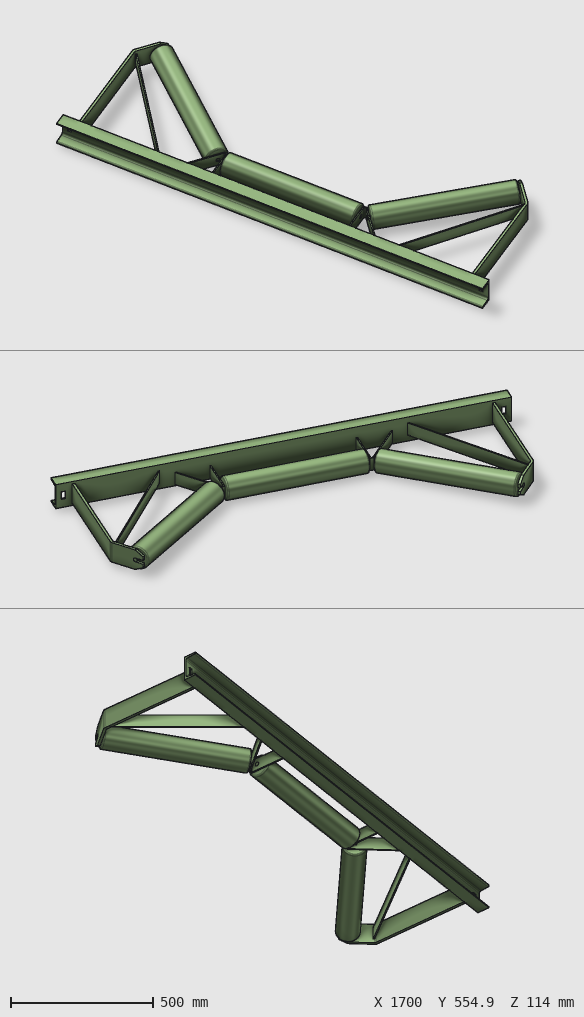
import cadquery as cq
import math


channel_length = 1700.0
channel_height = 100.0
channel_depth = 50.0
web_thickness = 7.0
flange_tip_thickness = 7.0
flange_root_thickness = 10.0
root_fillet = 8.0
tip_fillet = 4.2
slot_height = 30.0
slot_width = 15.0
slot_offset = 821.0

roller_radius = 45.0
roller_length = 530.0
rim_fillet = 5.0
shaft_radius = 7.6
inner_shaft_length = 10.0
outer_shaft_length = 15.0
cutter_reach = 34.0
trough_angle = 40.0
toe_angle = 2.0
centre_roller_y = 117.0
roller_drop = 14.0
roller_z = roller_radius - channel_height / 2 - roller_drop
wing_inner_x = 306.0
wing_inner_y = 130.0

post_outer_x = 789.0
post_thickness = 10.0
post_width = 82.0
post_knee_y = 403.0
post_tip_length = 133.0
post_tip_chamfer_length = 32.0
post_tip_chamfer_width = 19.0
bend_radius = 17.0

brace_thickness = 5.0
brace_width = 51.0
brace_angle = 52.5
brace_top_x = 777.0
brace_foot_x = 462.0

bracket_thickness = 5.0
bracket_width = 51.0
bracket_leg_x = 275.0
bracket_top_y = 145.0
bracket_slant_foot_x = 406.0

rise = math.radians(trough_angle)


def make_channel():
    """C-section with tapered flanges pointing to -Y and a rectangular slot near each end."""
    half = channel_height / 2
    profile = [
        (0, -half),
        (-channel_depth, -half),
        (-channel_depth, -half + flange_tip_thickness),
        (-web_thickness, -half + flange_root_thickness),
        (-web_thickness, half - flange_root_thickness),
        (-channel_depth, half - flange_tip_thickness),
        (-channel_depth, half),
        (0, half),
    ]
    body = cq.Workplane("YZ").polyline(profile).close().extrude(channel_length / 2, both=True)
    tip_z = half - flange_tip_thickness
    root_z = half - flange_root_thickness
    for side in (-1, 1):
        root_edge = cq.NearestToPointSelector((0, -web_thickness, side * root_z))
        tip_edge = cq.NearestToPointSelector((0, -channel_depth, side * tip_z))
        body = body.edges(root_edge).fillet(root_fillet)
        body = body.edges(tip_edge).fillet(tip_fillet)
    slots = (
        cq.Workplane("XZ")
        .pushPoints([(-slot_offset, 0), (slot_offset, 0)])
        .rect(slot_width, slot_height)
        .extrude(channel_depth)
    )
    return body.cut(slots)


def make_shaft(start_length, end_length):
    """Round shaft along +X, reaching beyond a roller drum that starts at the origin."""
    return (
        cq.Workplane("YZ", origin=(-start_length, 0, 0))
        .circle(shaft_radius)
        .extrude(start_length + roller_length + end_length)
    )


def make_roller(end_shaft_length):
    """Drum with rounded rims along +X from the origin, on a shaft that shows at both ends."""
    drum = cq.Workplane("YZ").circle(roller_radius).extrude(roller_length).edges().fillet(rim_fillet)
    return drum.union(make_shaft(inner_shaft_length, end_shaft_length))


def make_post_slot():
    """Cutter for the open slot that the outer shaft end drops into."""
    opening = cq.Workplane("XY", origin=(roller_length, 0, 0)).box(
        cutter_reach, 2 * roller_radius, 2 * shaft_radius, centered=(False, False, True)
    )
    return make_shaft(0, cutter_reach).union(opening)


def place_centre(body):
    """Centre a +X body on the middle of the trough."""
    return body.translate((-roller_length / 2, centre_roller_y, roller_z))


def place_wing(body):
    """Stand a +X body on the right wing: toe it along Z, then tilt it to the trough angle."""
    return (
        body.rotate((0, 0, 0), (0, 1, 0), -toe_angle)
        .rotate((0, 0, 0), (0, 0, 1), trough_angle)
        .translate((wing_inner_x, wing_inner_y, roller_z))
    )


def make_post():
    """Right post: upright strip bent inwards at the knee to carry the wing roller shaft."""
    bend = (-math.sin(rise), math.cos(rise))
    inward = (-math.cos(rise), -math.sin(rise))
    tip = (post_outer_x + post_tip_length * bend[0], post_knee_y + post_tip_length * bend[1])
    tip_inner = (tip[0] + post_thickness * inward[0], tip[1] + post_thickness * inward[1])
    inner_knee_y = post_knee_y - post_thickness * math.tan(rise / 2)
    inner_x = post_outer_x - post_thickness
    profile = [
        (post_outer_x, 0),
        (post_outer_x, post_knee_y),
        tip,
        tip_inner,
        (inner_x, inner_knee_y),
        (inner_x, 0),
    ]
    post = cq.Workplane("XY").polyline(profile).close().extrude(post_width / 2, both=True)
    outer_knee = cq.NearestToPointSelector((post_outer_x, post_knee_y, 0))
    inner_knee = cq.NearestToPointSelector((inner_x, inner_knee_y, 0))
    post = post.edges(outer_knee).fillet(bend_radius)
    post = post.edges(inner_knee).fillet(bend_radius - post_thickness)
    half = post_width / 2
    for side in (-1, 1):
        corner = (
            cq.Workplane(cq.Plane(origin=(*tip, 0), xDir=(*bend, 0), normal=(*inward, 0)))
            .moveTo(0, side * half)
            .lineTo(-post_tip_chamfer_length, side * half)
            .lineTo(0, side * (half - post_tip_chamfer_width))
            .close()
            .extrude(post_thickness)
        )
        post = post.cut(corner)
    return post.cut(place_wing(make_post_slot()))


def make_brace():
    """Right brace: flat strip from the inner face of the post down to the channel back."""
    slope = math.radians(brace_angle)
    top_y = (brace_top_x - brace_foot_x) * math.tan(slope)
    profile = [
        (brace_foot_x, 0),
        (brace_top_x, top_y),
        (brace_top_x, top_y - brace_thickness / math.cos(slope)),
        (brace_foot_x + brace_thickness / math.sin(slope), 0),
    ]
    brace = cq.Workplane("XY").polyline(profile).close().extrude(brace_width / 2, both=True)
    return brace.cut(make_post())


def make_bracket():
    """Right inner bracket: an upright leg and a slanted leg square to the wing roller."""
    slant_run = math.tan(rise)
    slant_step = bracket_thickness / math.cos(rise)
    inner_top_y = bracket_top_y - bracket_thickness
    leg_roller_x = bracket_leg_x - bracket_thickness
    profile = [
        (leg_roller_x, 0),
        (leg_roller_x, bracket_top_y),
        (bracket_slant_foot_x - slant_run * bracket_top_y, bracket_top_y),
        (bracket_slant_foot_x, 0),
        (bracket_slant_foot_x - slant_step, 0),
        (bracket_slant_foot_x - slant_step - slant_run * inner_top_y, inner_top_y),
        (bracket_leg_x, inner_top_y),
        (bracket_leg_x, 0),
    ]
    bracket = (
        cq.Workplane("XY", origin=(0, 0, roller_z))
        .polyline(profile)
        .close()
        .extrude(bracket_width / 2, both=True)
    )
    bracket = bracket.cut(place_wing(make_shaft(cutter_reach, 0)))
    return bracket.cut(place_centre(make_shaft(0, cutter_reach)))


def both_sides(body):
    """The right-hand body and its mirrored left-hand copy, as separate solids."""
    return [body.val(), body.mirror("YZ").val()]


result = cq.Compound.makeCompound([
    make_channel().val(),
    place_centre(make_roller(inner_shaft_length)).val(),
    *both_sides(place_wing(make_roller(outer_shaft_length))),
    *both_sides(make_post()),
    *both_sides(make_brace()),
    *both_sides(make_bracket()),
])